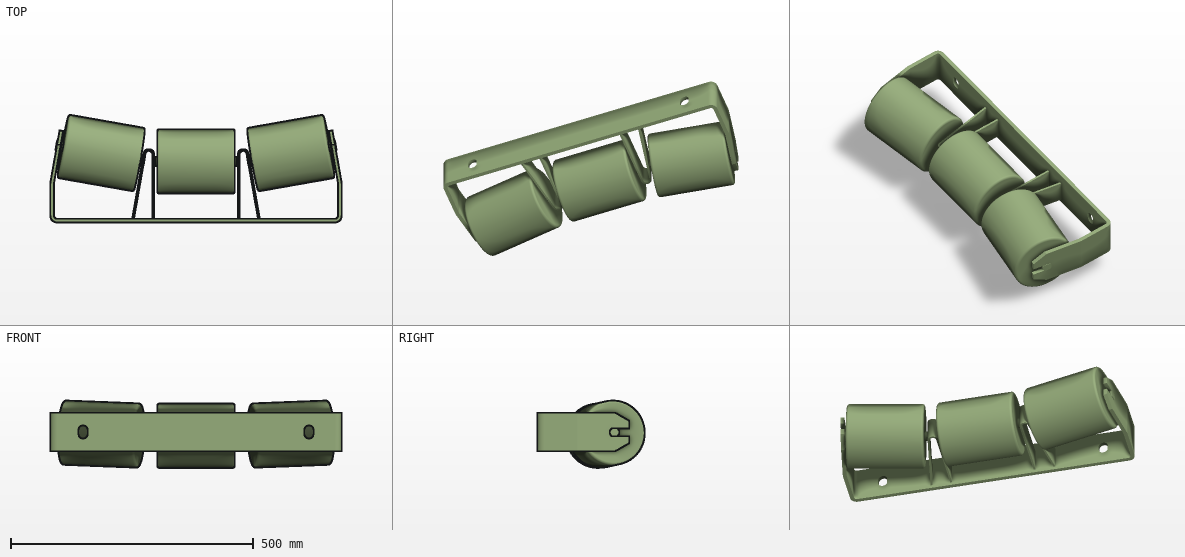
import cadquery as cq
import math

frame_length = 600.0
strip_height = 80.0
plate_thickness = 8.0
bend_outer_radius = 14.0
bend_inner_radius = bend_outer_radius - plate_thickness
arm_lean = 10.0
arm_knee_y = 81.0
arm_tip_y = 190.0
arm_chamfer_length = 30.0
arm_chamfer_height = 17.0
mount_slot_width = 19.0
mount_slot_height = 27.0
mount_slot_x = 232.5

roller_length = 160.0
roller_diameter = 133.0
roller_edge_radius = 5.0
shaft_diameter = 20.0
shaft_flat_width = 16.0
side_gap = 6.0
flat_clearance = 2.0
roller_drop = 7.75
middle_roller_y = 126.0
outer_roller_x = 195.0
outer_roller_y = 143.2
outer_roller_z = -4.3
outer_roller_tilt = 2.2

bracket_thickness = 4.0
bracket_height = 50.0
bracket_outer_radius = 11.0
bracket_inner_radius = bracket_outer_radius - bracket_thickness
bracket_wall_x = roller_length / 2 + side_gap
bracket_fold_x = bracket_wall_x + bracket_outer_radius
bracket_fold_y = 140.5

lean_sin = math.sin(math.radians(arm_lean))
lean_cos = math.cos(math.radians(arm_lean))
lean_tan = lean_sin / lean_cos


def place_roller(body, side):
    """Move a body from roller coordinates to the left (-1), middle (0) or right (1) roller."""
    tilted = body.rotate((0, 0, 0), (0, 1, 0), -side * outer_roller_tilt)
    turned = tilted.rotate((0, 0, 0), (0, 0, 1), side * arm_lean)
    if side == 0:
        return turned.translate((0, middle_roller_y, -roller_drop))
    return turned.translate((side * outer_roller_x, outer_roller_y, outer_roller_z))


def x_cylinder(diameter, length):
    """Cylinder along X, centred on the origin."""
    return cq.Workplane("YZ", origin=(-length / 2, 0, 0)).circle(diameter / 2).extrude(length)


def flatted_shaft(length):
    """Shaft along X, with flats on its top and bottom."""
    shaft = x_cylinder(shaft_diameter, length)
    return shaft.intersect(cq.Workplane("XY").box(length, shaft_diameter, shaft_flat_width))


def make_roller(side):
    drum = x_cylinder(roller_diameter, roller_length).faces("<X or >X").edges().fillet(roller_edge_radius)
    wall_offset = roller_length / 2 + side_gap
    neck = x_cylinder(shaft_diameter, 2 * (wall_offset - flat_clearance))

    bracket_end = wall_offset + bracket_thickness
    shaft = flatted_shaft(2 * bracket_end)
    if side != 0:
        frame_end = wall_offset + plate_thickness
        end_shift = side * (frame_end - bracket_end) / 2
        shaft = flatted_shaft(frame_end + bracket_end).translate((end_shift, 0, 0))
    return place_roller(drum.union(neck).union(shaft), side)


def arm_outline(side):
    """Plan outline of one end wall: corner bend, upright wall and leaning arm."""
    outer_x = frame_length / 2
    bend_x = outer_x - bend_outer_radius
    bend_diagonal = math.sqrt(0.5)
    inner_x = outer_x - plate_thickness

    def corner(radius):
        return (side * (bend_x + radius * bend_diagonal), bend_outer_radius - radius * bend_diagonal)

    def knee(radius, angle_degrees):
        angle = math.radians(angle_degrees)
        return (side * (bend_x + radius * math.cos(angle)), arm_knee_y + radius * math.sin(angle))

    lean_start_x = bend_x + bend_outer_radius * lean_cos
    lean_start_y = arm_knee_y + bend_outer_radius * lean_sin
    outer_tip_x = lean_start_x - (arm_tip_y - lean_start_y) * lean_tan
    inner_tip_x = outer_tip_x - plate_thickness * lean_cos
    inner_tip_y = arm_tip_y - plate_thickness * lean_sin
    return (
        cq.Workplane("XY")
        .moveTo(side * bend_x, 0)
        .threePointArc(corner(bend_outer_radius), (side * outer_x, bend_outer_radius))
        .lineTo(side * outer_x, arm_knee_y)
        .threePointArc(knee(bend_outer_radius, arm_lean / 2), knee(bend_outer_radius, arm_lean))
        .lineTo(side * outer_tip_x, arm_tip_y)
        .lineTo(side * inner_tip_x, inner_tip_y)
        .lineTo(*knee(bend_inner_radius, arm_lean))
        .threePointArc(knee(bend_inner_radius, arm_lean / 2), (side * inner_x, arm_knee_y))
        .lineTo(side * inner_x, bend_outer_radius)
        .threePointArc(corner(bend_inner_radius), (side * bend_x, plate_thickness))
        .close()
    )


def arm_side_outline():
    """Side outline in Y and Z that chamfers the arm tips."""
    half_height = strip_height / 2
    tip_half_height = half_height - arm_chamfer_height
    chamfer_y = arm_tip_y - arm_chamfer_length
    return cq.Workplane("YZ").polyline([
        (0, -half_height),
        (chamfer_y, -half_height),
        (arm_tip_y, -tip_half_height),
        (arm_tip_y, tip_half_height),
        (chamfer_y, half_height),
        (0, half_height),
    ]).close()


def shaft_slot(side):
    """Open slot in one frame arm: round bottom, flat sides that hold the shaft flats."""
    slot_length = arm_tip_y - outer_roller_y
    outer_length = roller_length / 2 + side_gap + 2 * plate_thickness
    opening = cq.Workplane("XY").box(
        2 * outer_length, slot_length, shaft_flat_width, centered=(True, False, True)
    )
    slot = flatted_shaft(2 * outer_length).union(opening)
    return place_roller(slot, side)


def make_frame():
    plate_length = frame_length - 2 * bend_outer_radius
    frame = cq.Workplane("XY").box(
        plate_length, plate_thickness, strip_height, centered=(True, False, True)
    )
    for side in (-1, 1):
        frame = frame.union(arm_outline(side).extrude(strip_height / 2, both=True))
    frame = frame.intersect(arm_side_outline().extrude(frame_length / 2, both=True))
    for side in (-1, 1):
        frame = frame.cut(shaft_slot(side))
    mount_slots = (
        cq.Workplane("XZ")
        .pushPoints([(-mount_slot_x, 0), (mount_slot_x, 0)])
        .slot2D(mount_slot_height, mount_slot_width, 90)
        .extrude(-plate_thickness)
    )
    return frame.cut(mount_slots)


def make_bracket(side):
    foot_y = plate_thickness

    def leaning_point(radius):
        return (side * (bracket_fold_x + radius * lean_cos), bracket_fold_y + radius * lean_sin)

    def leaning_foot(radius):
        start_x = bracket_fold_x + radius * lean_cos
        start_y = bracket_fold_y + radius * lean_sin
        return (side * (start_x + (start_y - foot_y) * lean_tan), foot_y)

    def upright_x(radius):
        return side * (bracket_fold_x - radius)

    outer, inner = bracket_outer_radius, bracket_inner_radius
    bracket = (
        cq.Workplane("XY")
        .moveTo(upright_x(outer), foot_y)
        .lineTo(upright_x(outer), bracket_fold_y)
        .threePointArc((side * bracket_fold_x, bracket_fold_y + outer), leaning_point(outer))
        .lineTo(*leaning_foot(outer))
        .lineTo(*leaning_foot(inner))
        .lineTo(*leaning_point(inner))
        .threePointArc((side * bracket_fold_x, bracket_fold_y + inner), (upright_x(inner), bracket_fold_y))
        .lineTo(upright_x(inner), foot_y)
        .close()
        .extrude(bracket_height / 2, both=True)
        .translate((0, 0, -roller_drop))
    )
    shaft_reach = 2 * (roller_length / 2 + side_gap + 2 * bracket_thickness)
    for roller_side in (0, side):
        bracket = bracket.cut(place_roller(flatted_shaft(shaft_reach), roller_side))
    return bracket


frame = make_frame()
brackets = [make_bracket(side) for side in (-1, 1)]
rollers = [make_roller(side) for side in (-1, 0, 1)]

result = cq.Compound.makeCompound([
    frame.val(),
    *[bracket.val() for bracket in brackets],
    *[roller.val() for roller in rollers],
])